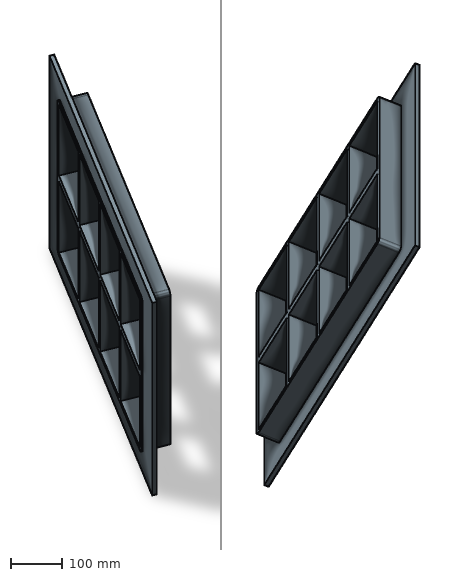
import cadquery as cq

flange_width = 652.0
flange_height = 596.0
flange_thickness = 10.0

flange_border = 60.0
body_depth = 60.0
front_projection = 3.0
body_width = flange_width - 2 * flange_border
body_height = flange_height - 2 * flange_border
corner_radius = 10.0

columns = 4
rows = 2
wall = 10.0
column_bar = 10.0
row_bar = 19.5
window_width = (body_width - 2 * wall - (columns - 1) * column_bar) / columns
window_height = (body_height - 2 * wall - (rows - 1) * row_bar) / rows


def block(width, depth, height, front_y):
    """Box centred in X and Z, extending from front_y towards +Y."""
    return cq.Workplane("XY").box(width, depth, height, centered=(True, False, True)).translate((0, front_y, 0))


flange = block(flange_width, flange_thickness, flange_height, front_projection)
body = block(body_width, body_depth, body_height, 0).edges("|Y").fillet(corner_radius)

windows = (
    cq.Workplane("XZ")
    .rarray(window_width + column_bar, window_height + row_bar, columns, rows)
    .rect(window_width, window_height)
    .extrude(-body_depth)
)

result = flange.union(body).cut(windows)